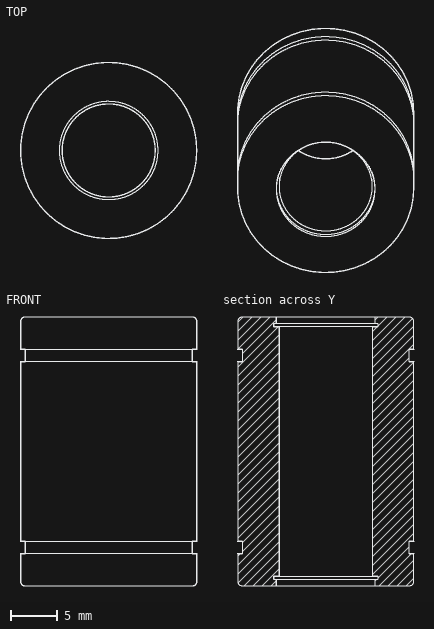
import cadquery as cq

length = 29.0
outer_diameter = 19.0
bore_diameter = 10.0
rim_fillet = 0.5

ring_groove_diameter = 18.0
ring_groove_width = 1.3
ring_groove_inset = 3.5

recess_diameter = 10.6
recess_depth = 1.05
undercut_diameter = 11.2
undercut_width = 0.32


def disc(diameter, bottom, height):
    """Solid disc on the sleeve axis, with its lower face at the given height."""
    return cq.Workplane("XY").workplane(offset=bottom).circle(diameter / 2).extrude(height)


def at_both_ends(inset, width):
    """Lower faces of two bands of the given width, set in equally from each end."""
    return [inset, length - inset - width]


result = disc(outer_diameter, 0, length).faces("<Z or >Z").edges().fillet(rim_fillet)

result = result.cut(disc(bore_diameter, 0, length))

for bottom in at_both_ends(ring_groove_inset, ring_groove_width):
    groove = disc(outer_diameter, bottom, ring_groove_width).cut(
        disc(ring_groove_diameter, bottom, ring_groove_width)
    )
    result = result.cut(groove)

for bottom in at_both_ends(0, recess_depth):
    result = result.cut(disc(recess_diameter, bottom, recess_depth))

for bottom in at_both_ends(recess_depth - undercut_width, undercut_width):
    result = result.cut(disc(undercut_diameter, bottom, undercut_width))